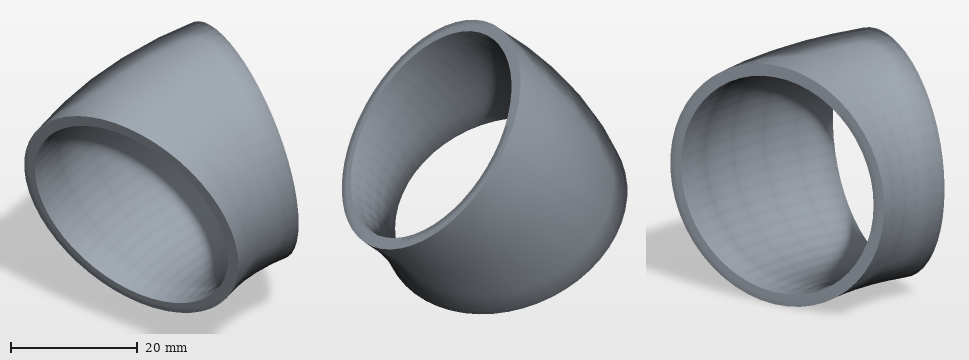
import cadquery as cq
import math

overall_length = 43.35
bend_radius = 45.0
bend_angle = 30.0
wall = 2.0

bend_cosine = math.cos(math.radians(bend_angle))
outer_radius = (overall_length - bend_radius * (1 - bend_cosine)) / (1 + bend_cosine)
inner_radius = outer_radius - wall

ring = cq.Workplane("XZ").circle(outer_radius).circle(inner_radius)
axis_bottom = (bend_radius, 0)
axis_top = (bend_radius, -1)

result = ring.revolve(bend_angle, axis_bottom, axis_top)